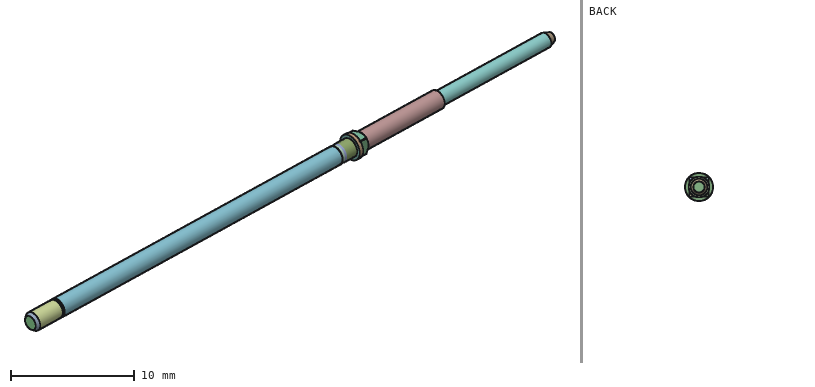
import cadquery as cq

LENGTH = 59.5
BODY_DIAMETER = 1.7

PLUNGER_DIAMETER = 1.35
PLUNGER_LENGTH = 13.0
TIP_DIAMETER = 0.9
TIP_LENGTH = 0.65

FLANGE_START = 22.6
FLANGE_THICKNESS = 0.4
FLANGE_DIAMETER = 2.3
COLLAR_LENGTH = 0.9
COLLAR_WIDTH = 1.6
COLLAR_CORNER_DIAMETER = 2.2
COLLAR_LEAD_IN = 0.2

GROOVE_START = 24.15
GROOVE_WIDTH = 0.5
GROOVE_FLANK = 0.2
GROOVE_DIAMETER = 1.62

TAIL_LENGTH = 3.1
NECK_WIDTH = 0.18
NECK_DIAMETER = 1.6
TAIL_DIAMETER = 1.68
END_DIAMETER = 1.25
END_CHAMFER_LENGTH = 0.3


def shaft_stations():
    """Diameter and distance from the tip at each corner of the shaft outline."""
    groove_end = GROOVE_START + GROOVE_WIDTH
    tail_start = LENGTH - TAIL_LENGTH
    neck_end = tail_start + NECK_WIDTH
    return [
        (TIP_DIAMETER, 0),
        (PLUNGER_DIAMETER, TIP_LENGTH),
        (PLUNGER_DIAMETER, PLUNGER_LENGTH),
        (BODY_DIAMETER, PLUNGER_LENGTH),
        (BODY_DIAMETER, FLANGE_START - COLLAR_LENGTH),
        (COLLAR_WIDTH, FLANGE_START - COLLAR_LENGTH),
        (COLLAR_WIDTH, FLANGE_START),
        (FLANGE_DIAMETER, FLANGE_START),
        (FLANGE_DIAMETER, FLANGE_START + FLANGE_THICKNESS),
        (BODY_DIAMETER, FLANGE_START + FLANGE_THICKNESS),
        (BODY_DIAMETER, GROOVE_START),
        (GROOVE_DIAMETER, GROOVE_START + GROOVE_FLANK),
        (GROOVE_DIAMETER, groove_end),
        (BODY_DIAMETER, groove_end),
        (BODY_DIAMETER, tail_start),
        (NECK_DIAMETER, tail_start),
        (NECK_DIAMETER, neck_end),
        (TAIL_DIAMETER, neck_end),
        (TAIL_DIAMETER, LENGTH - END_CHAMFER_LENGTH),
        (END_DIAMETER, LENGTH),
    ]


def make_shaft():
    """Plunger, body, flange, groove and tail as one revolved outline."""
    surface = [(diameter / 2, -distance) for diameter, distance in shaft_stations()]
    outline = [(0, 0)] + surface + [(0, -LENGTH)]
    return cq.Workplane("XY").polyline(outline).close().revolve(360, (0, 0), (0, 1))


def make_collar():
    """Square collar whose corners are turned round and eased by a lead-in cone."""
    plane = cq.Workplane("XZ", origin=(0, COLLAR_LENGTH - FLANGE_START, 0))
    square = plane.rect(COLLAR_WIDTH, COLLAR_WIDTH).extrude(COLLAR_LENGTH)
    lead_in_depth = (COLLAR_CORNER_DIAMETER - BODY_DIAMETER) / 2
    turned = plane.circle(COLLAR_CORNER_DIAMETER / 2).extrude(COLLAR_LENGTH)
    turned = turned.faces(">Y").chamfer(COLLAR_LEAD_IN, lead_in_depth)
    return square.intersect(turned)


result = make_shaft().union(make_collar())